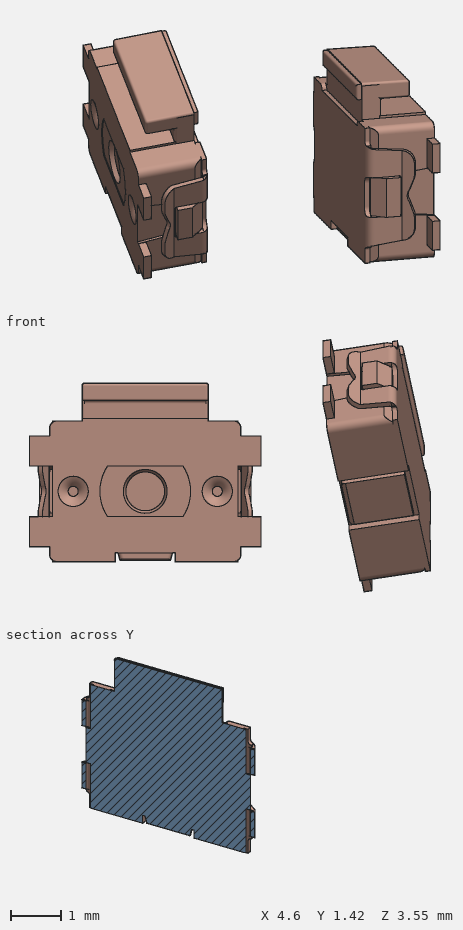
import cadquery as cq
import math


overall_width = 4.6
depth = 1.42
slider_top = 2.15

half_height = 1.4
half_width = 1.9
cover_thickness = 0.1
cover_face = depth - cover_thickness
corner_radius = 0.15
chamfer_width = 0.11
chamfer_depth = 0.16
raised_half_width = 1.25
raised_top = 1.45

tab_thickness = 0.16
tab_inner = 0.5
tab_outer = 1.1

recess_depth = 0.055
recess_length = 0.66
recess_end_half_height = 0.43

notch_half_width = 0.595
notch_top = -1.22
tongue_root_half_width = 0.545
tongue_tip_half_width = 0.5
tongue_bottom = -1.375
tongue_front = 0.04
tongue_chamfer_depth = 0.09
tongue_chamfer_height = 0.035

panel_half_width = 0.9
panel_corner_x = 0.75
panel_half_height = 0.5
panel_depth = 0.02
pocket_radius = 0.435
pocket_floor_radius = 0.385
pocket_depth = 0.12

dimple_offset = 1.43
dimple_radius = 0.3
dimple_floor_radius = 0.1
dimple_depth = 0.16
dimple_bulge = 0.02

slider_half_width = 1.255
stem_front = 0.92
head_front = 0.325
head_bottom = 1.8
head_front_top = 2.135
slider_fillet = 0.05
head_lower_fillet = 0.035
slider_rear_half_width = 1.225
slider_rear_bottom = 1.81
slider_rear_top = 2.13
slider_rear_fillet = 0.045
stem_inner_fillet = 0.06

cover_half_width = 1.84
slider_gap_depth = 0.11
shoulder_bottom = 1.055
shoulder_fillet = 0.075

clip_root_x = 1.75
clip_gap = 0.01
clip_inner_x = half_width + clip_gap
clip_outer_x = clip_inner_x + cover_thickness
bend_inner_radius = 0.05
bend_outer_radius = bend_inner_radius + cover_thickness
bend_x = clip_outer_x - bend_outer_radius
bend_y = depth - bend_outer_radius
clip_root_half_height = 1.0
clip_end_half_height = 0.93
lip_start = 0.705
lip_angle = 28
lip_length = 0.25
lip_waist_length = 0.104
lip_flat_outer = 0.65
lip_flat_inner = 0.45
lip_slope_outer = 0.345
lip_slope_inner = 0.11
lip_slope_outer_length = 0.233
lip_slope_inner_length = 0.141
lip_corner_middle = 0.85
lip_edge_middle_length = 0.246
lip_edge_middle = 0.40
window_half_height = 0.41
window_end = 0.72
window_radius = 0.05
window_root_x = 1.8
window_root_radius = 0.165

latch_half_height = 0.4
latch_tip_x = 2.1
latch_ramp_end = 1.055
latch_front = 0.757


def box(x_range, y_range, z_range):
    """Box spanning the given (low, high) ranges."""
    (x0, x1), (y0, y1), (z0, z1) = x_range, y_range, z_range
    return cq.Workplane("XY").box(x1 - x0, y1 - y0, z1 - z0, centered=False).translate((x0, y0, z0))


def front_profile():
    """Sketch plane on the mounting face; positive extrusion goes toward -Y."""
    return cq.Workplane("XZ")


def both_sides(right_half):
    """The given shape together with its mirror image across x = 0."""
    return right_half.union(right_half.mirror("YZ"))


def make_housing():
    housing = box((-half_width, half_width), (0, cover_face), (-half_height, half_height))
    housing = housing.edges("|Y").fillet(corner_radius)
    rear_chamfer = (
        cq.Workplane("XY")
        .moveTo(half_width, cover_face - chamfer_depth)
        .lineTo(half_width, cover_face)
        .lineTo(half_width - chamfer_width, cover_face)
        .close()
        .extrude(half_height, both=True)
    )
    housing = housing.cut(both_sides(rear_chamfer))
    raised = box((-raised_half_width, raised_half_width), (0, cover_face), (0, raised_top))
    return housing.union(raised)


def make_tab():
    tab = box((half_width - corner_radius, overall_width / 2), (0, tab_thickness), (tab_inner, tab_outer))
    return tab.union(tab.mirror("XY"))


def make_side_recess():
    floor_x = half_width - recess_depth
    return (
        cq.Workplane("YZ", origin=(floor_x, 0, 0))
        .moveTo(0, -tab_inner)
        .lineTo(recess_length, -recess_end_half_height)
        .lineTo(recess_length, recess_end_half_height)
        .lineTo(0, tab_inner)
        .close()
        .extrude(overall_width / 2)
    )


def make_bottom_notch():
    return box((-notch_half_width, notch_half_width), (0, depth), (-half_height, notch_top))


def make_tongue():
    tongue = (
        front_profile()
        .moveTo(-tongue_root_half_width, notch_top)
        .lineTo(-tongue_tip_half_width, tongue_bottom)
        .lineTo(tongue_tip_half_width, tongue_bottom)
        .lineTo(tongue_root_half_width, notch_top)
        .close()
        .extrude(-(cover_face - tongue_front))
        .translate((0, tongue_front, 0))
    )
    tongue = tongue.faces("<Y").edges("not |X").fillet(tongue_chamfer_depth)
    lower_bevel = (
        cq.Workplane("YZ")
        .moveTo(tongue_front, tongue_bottom)
        .lineTo(tongue_front + tongue_chamfer_depth, tongue_bottom)
        .lineTo(tongue_front, tongue_bottom + tongue_chamfer_height)
        .close()
        .extrude(tongue_root_half_width, both=True)
    )
    return tongue.cut(lower_bevel)


def make_panel():
    return (
        front_profile()
        .moveTo(-panel_corner_x, -panel_half_height)
        .lineTo(panel_corner_x, -panel_half_height)
        .threePointArc((panel_half_width, 0), (panel_corner_x, panel_half_height))
        .lineTo(-panel_corner_x, panel_half_height)
        .threePointArc((-panel_half_width, 0), (-panel_corner_x, -panel_half_height))
        .close()
        .extrude(-panel_depth)
    )


def make_pocket():
    return (
        cq.Workplane("XY")
        .lineTo(pocket_radius, 0)
        .lineTo(pocket_radius, panel_depth)
        .lineTo(pocket_floor_radius, pocket_depth)
        .lineTo(0, pocket_depth)
        .close()
        .revolve(360, (0, 0, 0), (0, 1, 0))
    )


def make_dimple():
    chord_middle = (dimple_radius + dimple_floor_radius) / 2
    bulge = dimple_bulge * math.sin(math.radians(45))
    return (
        cq.Workplane("XY")
        .lineTo(dimple_radius, 0)
        .threePointArc(
            (chord_middle - bulge, dimple_depth / 2 - bulge),
            (dimple_floor_radius, dimple_depth),
        )
        .lineTo(0, dimple_depth)
        .close()
        .revolve(360, (0, 0, 0), (0, 1, 0))
        .translate((dimple_offset, 0, 0))
    )


def make_slider():
    head = (
        cq.Workplane("YZ")
        .moveTo(cover_face, head_bottom)
        .lineTo(head_front, head_bottom)
        .lineTo(head_front, head_front_top)
        .lineTo(cover_face, slider_top)
        .close()
        .extrude(slider_half_width, both=True)
    )
    head = head.edges("<Y and |Z").fillet(slider_fillet)
    head = head.faces("<Z").edges("not >Y").fillet(head_lower_fillet)
    head = head.faces(">Z").edges("not >Y").fillet(slider_fillet)

    stem = box(
        (-slider_half_width, slider_half_width),
        (stem_front, cover_face),
        (half_height - corner_radius, slider_top - slider_fillet),
    )
    stem = stem.edges("<Y and |Z").fillet(slider_fillet)

    corner_half_width = slider_half_width - slider_fillet
    inner_corner = box(
        (-corner_half_width, corner_half_width),
        (stem_front - stem_inner_fillet, stem_front),
        (head_bottom - stem_inner_fillet, head_bottom),
    )
    hollow = (
        cq.Workplane("YZ")
        .center(stem_front - stem_inner_fillet, head_bottom - stem_inner_fillet)
        .circle(stem_inner_fillet)
        .extrude(slider_half_width, both=True)
    )

    rear = box(
        (-slider_rear_half_width, slider_rear_half_width),
        (cover_face, depth),
        (slider_rear_bottom, slider_rear_top),
    )
    rear = rear.edges(">Y").fillet(slider_rear_fillet)
    return head.union(stem).union(inner_corner.cut(hollow)).union(rear)


def make_cover():
    cover = box((-cover_half_width, cover_half_width), (cover_face, depth), (-half_height, half_height))
    gap_bottom = half_height - slider_gap_depth
    gap_half_width = slider_half_width + slider_gap_depth
    diagonal = slider_gap_depth * math.sin(math.radians(45))
    slider_gap = (
        front_profile()
        .moveTo(-gap_half_width, half_height)
        .threePointArc(
            (-gap_half_width + diagonal, gap_bottom + diagonal),
            (-slider_half_width, gap_bottom),
        )
        .lineTo(slider_half_width, gap_bottom)
        .threePointArc(
            (gap_half_width - diagonal, gap_bottom + diagonal),
            (gap_half_width, half_height),
        )
        .close()
        .extrude(-depth)
    )
    return cover.cut(slider_gap)


def make_bent_strip():
    """Flat end of the cover, the bend and the straight leg of the right-hand clip, left untrimmed."""
    diagonal = math.sin(math.radians(45))
    return (
        cq.Workplane("XY")
        .moveTo(clip_root_x, cover_face)
        .lineTo(clip_root_x, depth)
        .lineTo(bend_x, depth)
        .threePointArc(
            (bend_x + bend_outer_radius * diagonal, bend_y + bend_outer_radius * diagonal),
            (clip_outer_x, bend_y),
        )
        .lineTo(clip_outer_x, lip_start)
        .lineTo(clip_inner_x, lip_start)
        .lineTo(clip_inner_x, bend_y)
        .threePointArc(
            (bend_x + bend_inner_radius * diagonal, bend_y + bend_inner_radius * diagonal),
            (bend_x, cover_face),
        )
        .close()
        .extrude(shoulder_bottom + shoulder_fillet, both=True)
    )


def make_clip_outline():
    """Block whose edges taper from the shoulders toward the lip."""
    return (
        cq.Workplane("YZ")
        .moveTo(depth, -shoulder_bottom)
        .lineTo(cover_face, -clip_root_half_height)
        .lineTo(lip_start, -clip_end_half_height)
        .lineTo(lip_start, clip_end_half_height)
        .lineTo(cover_face, clip_root_half_height)
        .lineTo(depth, shoulder_bottom)
        .close()
        .extrude(overall_width / 2)
    )


def make_shoulder_gusset():
    """Concave rounding between the cover's shoulders and the edges of the clip."""
    gusset = box(
        (clip_root_x, cover_half_width + shoulder_fillet),
        (cover_face, depth),
        (0, shoulder_bottom + shoulder_fillet),
    )
    hollow = (
        front_profile()
        .center(cover_half_width + shoulder_fillet, shoulder_bottom + shoulder_fillet)
        .circle(shoulder_fillet)
        .extrude(-depth)
    )
    gusset = gusset.cut(hollow)
    return gusset.union(gusset.mirror("XY"))


def make_lip():
    """Flared end of the clip with a waisted edge, drawn in the slanted plane of its outer face."""
    slant = math.radians(lip_angle)
    lip_plane = cq.Plane(
        origin=(clip_outer_x, lip_start, 0),
        xDir=(math.sin(slant), -math.cos(slant), 0),
        normal=(math.cos(slant), math.sin(slant), 0),
    )
    corner_middle = (lip_length * math.sin(math.radians(45)), lip_corner_middle)
    edge_middle = (lip_edge_middle_length, lip_edge_middle)
    lip = (
        cq.Workplane(lip_plane)
        .moveTo(0, -clip_end_half_height)
        .threePointArc((corner_middle[0], -corner_middle[1]), (lip_length, -lip_flat_outer))
        .lineTo(lip_length, -lip_flat_inner)
        .threePointArc((edge_middle[0], -edge_middle[1]), (lip_slope_outer_length, -lip_slope_outer))
        .lineTo(lip_slope_inner_length, -lip_slope_inner)
        .threePointArc((lip_waist_length, 0), (lip_slope_inner_length, lip_slope_inner))
        .lineTo(lip_slope_outer_length, lip_slope_outer)
        .threePointArc(edge_middle, (lip_length, lip_flat_inner))
        .lineTo(lip_length, lip_flat_outer)
        .threePointArc(corner_middle, (0, clip_end_half_height))
        .close()
        .extrude(-cover_thickness)
    )
    fold = (
        cq.Workplane("XY")
        .moveTo(clip_inner_x, lip_start)
        .lineTo(clip_outer_x, lip_start)
        .lineTo(
            clip_outer_x - cover_thickness * math.cos(slant),
            lip_start - cover_thickness * math.sin(slant),
        )
        .close()
        .extrude(clip_end_half_height, both=True)
    )
    return lip.union(fold)


def make_clip_window():
    z_range = (-window_half_height, window_half_height)
    leg_window = box((bend_x, overall_width / 2), (window_end, cover_face), z_range)
    leg_window = leg_window.edges("|X and <Y").fillet(window_radius)
    root_window = box((window_root_x, overall_width / 2), (bend_y, depth), z_range)
    root_window = root_window.edges("|Y and <X").fillet(window_root_radius)
    return leg_window.union(root_window)


def make_latch():
    return (
        cq.Workplane("XY")
        .moveTo(half_width - chamfer_width, cover_face)
        .lineTo(half_width, cover_face)
        .lineTo(latch_tip_x, latch_ramp_end)
        .lineTo(latch_tip_x, latch_front)
        .lineTo(half_width - chamfer_width, latch_front)
        .close()
        .extrude(latch_half_height, both=True)
    )


def make_clip():
    trim = make_clip_outline().union(make_shoulder_gusset())
    clip = make_bent_strip().intersect(trim)
    return clip.union(make_lip())


housing = make_housing()
housing = housing.cut(both_sides(make_side_recess()))
housing = housing.union(both_sides(make_tab()))
housing = housing.cut(make_panel()).cut(make_pocket()).cut(both_sides(make_dimple()))

cover = make_cover().union(both_sides(make_clip()))
cover = cover.cut(both_sides(make_clip_window()))

result = housing.union(cover).union(both_sides(make_latch())).union(make_slider())
result = result.cut(make_bottom_notch()).union(make_tongue())